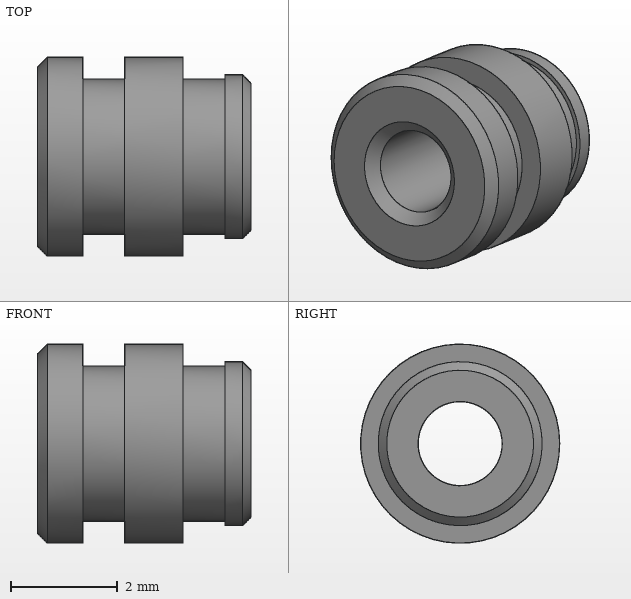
import cadquery as cq

total_length = 4.0
head_length = 0.85
head_chamfer_length = 0.19
neck_length = 0.78
collar_length = 1.095
lip_chamfer_length = 0.16

flange_diameter = 3.73
head_face_diameter = 3.35
neck_diameter = 2.91
lip_diameter = 3.07
lip_face_diameter = 2.75
bore_diameter = 1.57
countersink_diameter = 2.0

collar_start = head_length + neck_length
collar_end = collar_start + collar_length
lip_start = collar_end + neck_length

countersink_depth = (countersink_diameter - bore_diameter) / 2


def revolve_profile(stations):
    """Revolve (x, diameter) stations, filled down to the X axis."""
    outline = [(x, diameter / 2) for x, diameter in stations]
    first_x = outline[0][0]
    last_x = outline[-1][0]
    profile = cq.Workplane("XY").polyline([(first_x, 0)] + outline + [(last_x, 0)]).close()
    return profile.revolve(360, (0, 0, 0), (1, 0, 0))


body = revolve_profile([
    (0, head_face_diameter),
    (head_chamfer_length, flange_diameter),
    (head_length, flange_diameter),
    (head_length, neck_diameter),
    (collar_start, neck_diameter),
    (collar_start, flange_diameter),
    (collar_end, flange_diameter),
    (collar_end, neck_diameter),
    (lip_start, neck_diameter),
    (lip_start, lip_diameter),
    (total_length - lip_chamfer_length, lip_diameter),
    (total_length, lip_face_diameter),
])

bore = revolve_profile([
    (0, countersink_diameter),
    (countersink_depth, bore_diameter),
    (total_length, bore_diameter),
])

result = body.cut(bore)